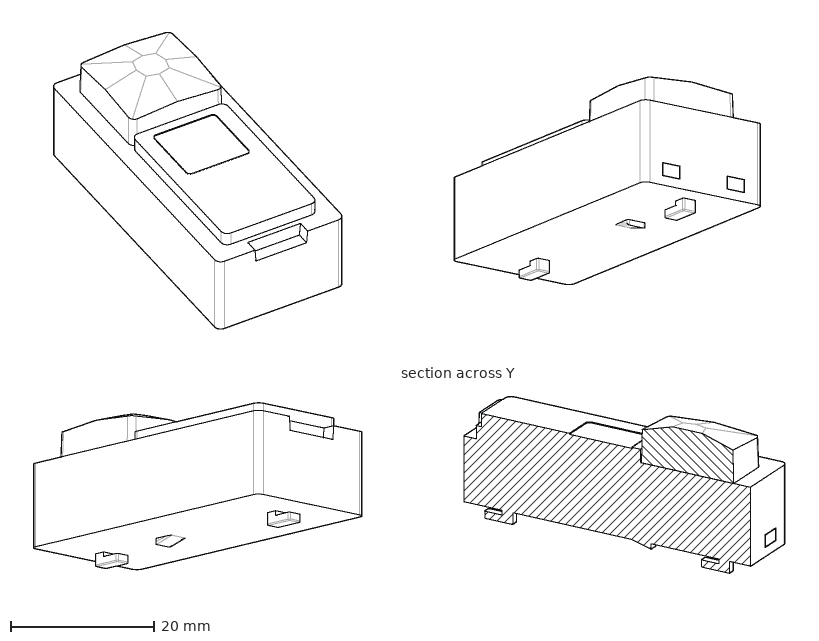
import cadquery as cq
import math

HOUSING_LENGTH = 46.41
HOUSING_WIDTH = 20.42
HOUSING_HEIGHT = 12.0
CORNER_RADIUS = 1.0

PLATE_LEFT = -5.45
PLATE_RIGHT = 20.35
PLATE_WIDTH = 15.0
PLATE_THICKNESS = 2.0

RECESS_CENTER_X = 1.05
RECESS_SIZE = 10.05
RECESS_CORNER_RADIUS = 0.6
RECESS_DEPTH = 0.15

NOTCH_LENGTH = 2.0
NOTCH_WIDTH = 8.52
NOTCH_DEPTH = 2.0
NOTCH_SIDE_INSET = 0.18

WINDOW_WIDTH = 2.9
WINDOW_HEIGHT = 1.86
WINDOW_SPACING = 11.06
WINDOW_CENTER_Z = 2.34
WINDOW_DEPTH = 0.1

HOOK_LEFT_EDGES = (-19.86, 15.22)
HOOK_DROP = 1.8
HOOK_LENGTH = 4.63
HOOK_WIDTH = 2.2
HOOK_STEM = 1.83
HOOK_GAP = 0.65
HOOK_END_ROUND = 0.25
HOOK_BOTTOM_ROUND = 0.18

LATCH_LEFT = -7.1
LATCH_LENGTH = 3.15
LATCH_DROP = 0.8
LATCH_WIDTH = 3.0
LATCH_ROUND = 0.25

BUTTON_SIZE = 15.0
BUTTON_GAP = 0.06
BUTTON_CENTER_X = PLATE_LEFT - BUTTON_GAP - BUTTON_SIZE / 2
BUTTON_HEIGHT = 6.5
BUTTON_DRAFT_ANGLE = 1.5
BUTTON_CORNER_DIAMETER = 1.77
FLAT_CORNERS = 8
FLAT_AXIS_REACH = 2.35
FLAT_DIAGONAL_REACH = 2.65
RIDGE_SLOPE = 0.297


def make_housing_block():
    block = cq.Workplane("XY").box(
        HOUSING_LENGTH, HOUSING_WIDTH, HOUSING_HEIGHT, centered=(True, True, False)
    )
    return block.edges("|Z").fillet(CORNER_RADIUS)


def make_plate():
    plate = (
        cq.Workplane("XY", origin=((PLATE_LEFT + PLATE_RIGHT) / 2, 0, HOUSING_HEIGHT))
        .rect(PLATE_RIGHT - PLATE_LEFT, PLATE_WIDTH)
        .extrude(PLATE_THICKNESS)
        .edges("|Z")
        .fillet(CORNER_RADIUS)
    )
    recess = (
        cq.Workplane("XY", origin=(RECESS_CENTER_X, 0, HOUSING_HEIGHT + PLATE_THICKNESS))
        .rect(RECESS_SIZE, RECESS_SIZE)
        .extrude(-RECESS_DEPTH)
        .edges("|Z")
        .fillet(RECESS_CORNER_RADIUS)
    )
    return plate.cut(recess)


def make_notch():
    half_top = NOTCH_WIDTH / 2
    half_floor = half_top - NOTCH_SIDE_INSET
    floor_z = HOUSING_HEIGHT - NOTCH_DEPTH
    return (
        cq.Workplane("YZ", origin=(HOUSING_LENGTH / 2 - NOTCH_LENGTH, 0, 0))
        .polyline(
            [
                (-half_top, HOUSING_HEIGHT),
                (-half_floor, floor_z),
                (half_floor, floor_z),
                (half_top, HOUSING_HEIGHT),
            ]
        )
        .close()
        .extrude(NOTCH_LENGTH)
    )


def make_windows():
    return (
        cq.Workplane("YZ", origin=(-HOUSING_LENGTH / 2, 0, WINDOW_CENTER_Z))
        .rarray(WINDOW_SPACING, 1, 2, 1)
        .rect(WINDOW_WIDTH, WINDOW_HEIGHT)
        .extrude(WINDOW_DEPTH)
    )


def make_hook(left):
    hook = (
        cq.Workplane("XZ", origin=(left, 0, 0))
        .polyline(
            [
                (0, 0),
                (0, -HOOK_DROP),
                (HOOK_LENGTH, -HOOK_DROP),
                (HOOK_LENGTH, -HOOK_GAP),
                (HOOK_STEM, -HOOK_GAP),
                (HOOK_STEM, 0),
            ]
        )
        .close()
        .extrude(HOOK_WIDTH / 2, both=True)
    )
    hook = hook.faces("<X or >X").edges("|Z").fillet(HOOK_END_ROUND)
    return hook.faces("<Z").edges().fillet(HOOK_BOTTOM_ROUND)


def make_latch():
    latch = (
        cq.Workplane("XZ", origin=(LATCH_LEFT, 0, 0))
        .polyline([(0, 0), (0, -LATCH_DROP), (LATCH_LENGTH, 0)])
        .close()
        .extrude(LATCH_WIDTH / 2, both=True)
    )
    return latch.edges("not (|Y or >Z)").fillet(LATCH_ROUND)


def make_housing():
    housing = make_housing_block().union(make_plate()).cut(make_notch()).cut(make_windows())
    for left in HOOK_LEFT_EDGES:
        housing = housing.union(make_hook(left))
    return housing.union(make_latch())


def octagon(scale):
    points = []
    for corner in range(FLAT_CORNERS):
        reach = FLAT_DIAGONAL_REACH if corner % 2 else FLAT_AXIS_REACH
        angle = 2 * math.pi * corner / FLAT_CORNERS
        points.append((scale * reach * math.cos(angle), scale * reach * math.sin(angle)))
    return points


def make_button():
    column = (
        cq.Workplane("XY")
        .rect(BUTTON_SIZE, BUTTON_SIZE)
        .extrude(BUTTON_HEIGHT, taper=BUTTON_DRAFT_ANGLE)
        .edges("not #Z")
        .fillet(BUTTON_CORNER_DIAMETER / 2)
    )
    spread = 1 + BUTTON_HEIGHT / (FLAT_AXIS_REACH * RIDGE_SLOPE)
    facets = (
        cq.Workplane("XY")
        .polyline(octagon(spread))
        .close()
        .workplane(offset=BUTTON_HEIGHT)
        .polyline(octagon(1))
        .close()
        .loft(ruled=True)
    )
    return column.intersect(facets).translate((BUTTON_CENTER_X, 0, HOUSING_HEIGHT))


housing = make_housing()
button = make_button()
result = cq.Compound.makeCompound([housing.val(), button.val()])